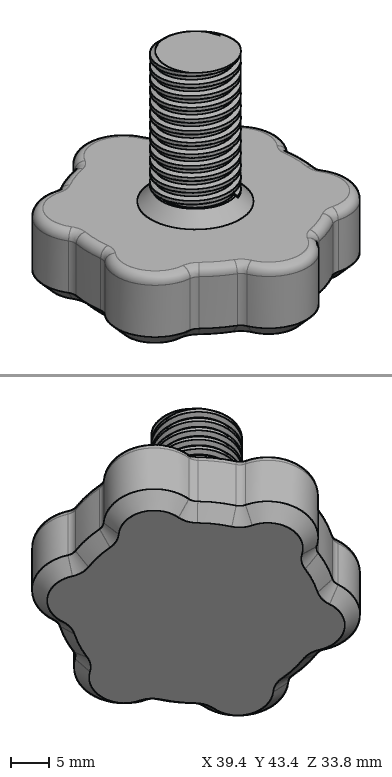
import cadquery as cq

lobe_count = 6
first_lobe_angle = 90
lobe_radius = 6.65
knob_length = 43.4
lobe_circle_radius = knob_length / 2 - lobe_radius
disc_radius = 18.4
valley_fillet = 1.75
knob_height = 11.2
top_round = 1.4
bottom_chamfer = 2.0

stud_x = 0.15
stud_y = -0.55
stud_top = 33.8
collar_height = 2.0
collar_base_radius = 7.65
collar_top_radius = 5.7
stud_root = knob_height / 2
collar_top = knob_height + collar_height

major_radius = 6.0
core_radius = 5.3
full_turns = 12
full_turns_rise = 21.0
pitch = full_turns_rise / full_turns
crest_width = 0.55
root_width = 1.17
root_overlap = 0.1
start_depth = 0.3
thread_start = collar_top - start_depth


def make_knob():
    """Lobed head with filleted valleys, a rounded top rim and a chamfered bottom rim."""
    lobes = (
        cq.Workplane("XY")
        .polarArray(lobe_circle_radius, first_lobe_angle, 360, lobe_count)
        .circle(lobe_radius)
        .extrude(knob_height)
    )
    knob = cq.Workplane("XY").circle(disc_radius).extrude(knob_height).union(lobes)
    knob = knob.edges("|Z").fillet(valley_fillet)
    knob = knob.faces(">Z").edges().fillet(top_round)
    return knob.faces("<Z").edges().chamfer(bottom_chamfer)


def make_core():
    """Collar cone and plain core of the stud, on the stud axis."""
    return (
        cq.Workplane("XZ")
        .moveTo(0, stud_root)
        .lineTo(collar_base_radius, stud_root)
        .lineTo(collar_base_radius, knob_height)
        .lineTo(collar_top_radius, collar_top)
        .lineTo(core_radius, collar_top)
        .lineTo(core_radius, stud_top)
        .lineTo(0, stud_top)
        .close()
        .revolve(360, (0, 0), (0, 1))
    )


def make_thread():
    """Helical rib, wound past the stud end and trimmed flush with it."""
    helix_height = full_turns_rise + pitch
    helix = cq.Wire.makeHelix(pitch, helix_height, core_radius, cq.Vector(0, 0, thread_start))
    flank_slope = (root_width - crest_width) / 2 / (major_radius - core_radius)
    inner_half = root_width / 2 + root_overlap * flank_slope
    rib = (
        cq.Workplane("XZ", origin=(0, 0, thread_start))
        .moveTo(core_radius - root_overlap, -inner_half)
        .lineTo(major_radius, -crest_width / 2)
        .lineTo(major_radius, crest_width / 2)
        .lineTo(core_radius - root_overlap, inner_half)
        .close()
        .sweep(cq.Workplane(helix), isFrenet=True)
    )
    trim = cq.Workplane("XY").circle(knob_length / 2).extrude(stud_top)
    return rib.intersect(trim)


stud = make_core().union(make_thread()).translate((stud_x, stud_y, 0))
result = make_knob().union(stud)